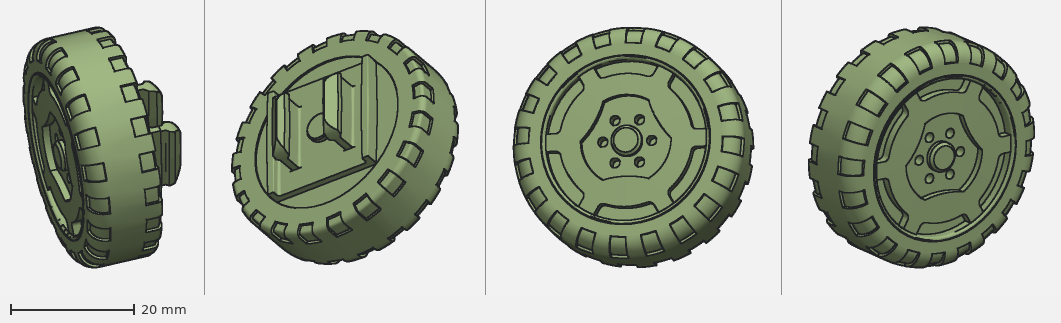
import cadquery as cq
import math


tyre_radius = 19.0
tyre_width = 12.1
bore_radius = 14.0
front_round = 3.0
back_round = 1.0

groove_count = 20
groove_angle = 360 / groove_count / 2
groove_depth = 0.5
groove_reach = 3.0
back_groove_inner_radius = 17.0
overcut = 0.38

rim_back = 11.78
lip_round = 0.45
lip_inner_radius = 13.25
rim_edge_chamfer = 0.1
window_inner_radius = 11.0
window_floor = 2.0
window_corner = 0.9
window_count = 6
spoke_width = 2.9
hub_pocket_floor = 1.52
hub_pocket_arcs = 6
hub_pocket_outer_radius = 7.5
hub_pocket_inner_radius = 6.0
bolt_count = 6
bolt_circle_radius = 4.03
bolt_hole_radius = 0.8
bolt_hole_floor = 4.0

axle_radius = 2.5
axle_front = 0.25
axle_back = 14.25
axle_front_chamfer = 0.5
axle_back_chamfer = 0.23

draft_angle = 1.0
plate_half = 10.0
plate_top = 13.35
plate_corner = 0.57
arm_top = 14.82
arm_inner = 8.47
arm_corner = 0.25
root_fillet = 0.35
prong_foot_margin = 0.75
prong_half_depth = 6.0
prong_round = 3.0
prong_top = 19.8
shank_inner = 4.5
shank_outer = 5.95
shank_top_inner = 16.45
shank_top_outer = 16.8
head_inner = 3.75
head_outer = 6.45
head_low_inner = 17.15
head_low_outer = 17.25
head_high_inner = 18.62
head_high_outer = 18.28
tip_inner = 4.52
tip_outer = 4.75


def circle_point(center, radius, degrees):
    """Point on a circle, at an angle measured from the first axis of the sketch."""
    angle = math.radians(degrees)
    return (center[0] + radius * math.cos(angle), center[1] + radius * math.sin(angle))


def revolve_about_y(profile, degrees=360):
    """Revolve a closed (y, radius) profile about the Y axis, from +Z towards +X."""
    return profile.close().revolve(degrees, (0, 0), (1, 0))


def face_plane(y):
    """XZ sketch plane at the given y, with its normal along +Y and its second axis along -Z."""
    return cq.Workplane(cq.Plane(origin=(0, y, 0), xDir=(1, 0, 0), normal=(0, 1, 0)))


def around_y(shape, count):
    """Equally spaced copies of a shape around the Y axis."""
    return [shape.rotate((0, 0, 0), (0, 1, 0), i * 360 / count) for i in range(count)]


def make_front_groove():
    center = (front_round, tyre_radius - front_round)
    floor_round = front_round - groove_depth
    profile = (
        cq.Workplane("YZ")
        .moveTo(front_round, tyre_radius + overcut)
        .lineTo(front_round, tyre_radius - groove_depth)
        .threePointArc(circle_point(center, floor_round, 135), (groove_depth, center[1]))
        .lineTo(-overcut, center[1])
        .lineTo(-overcut, tyre_radius + overcut)
    )
    return revolve_about_y(profile, groove_angle)


def make_back_groove():
    floor_round = back_round - groove_depth
    center = (tyre_width - back_round, tyre_radius - back_round)
    floor_y = tyre_width - groove_depth
    profile = (
        cq.Workplane("YZ")
        .moveTo(tyre_width - groove_reach, tyre_radius + overcut)
        .lineTo(tyre_width - groove_reach, tyre_radius - groove_depth)
        .lineTo(center[0], tyre_radius - groove_depth)
        .threePointArc(circle_point(center, floor_round, 45), (floor_y, center[1]))
        .lineTo(floor_y, back_groove_inner_radius)
        .lineTo(tyre_width + overcut, back_groove_inner_radius)
        .lineTo(tyre_width + overcut, tyre_radius + overcut)
    )
    return revolve_about_y(profile, groove_angle)


def make_tyre():
    front_center = (front_round, tyre_radius - front_round)
    back_center = (tyre_width - back_round, tyre_radius - back_round)
    profile = (
        cq.Workplane("YZ")
        .moveTo(0, bore_radius)
        .lineTo(0, front_center[1])
        .threePointArc(circle_point(front_center, front_round, 135), (front_round, tyre_radius))
        .lineTo(back_center[0], tyre_radius)
        .threePointArc(circle_point(back_center, back_round, 45), (tyre_width, back_center[1]))
        .lineTo(tyre_width, bore_radius)
    )
    tyre = revolve_about_y(profile)
    for groove in (make_front_groove(), make_back_groove()):
        for copy in around_y(groove, groove_count):
            tyre = tyre.cut(copy)
    return tyre


def make_rim_blank():
    """Disc with a shallow conical face and a rounded lip around it."""
    lip_outer = lip_inner_radius + lip_round
    profile = (
        cq.Workplane("YZ")
        .moveTo(0, 0)
        .lineTo(lip_round, lip_inner_radius)
        .threePointArc(circle_point((lip_round, lip_outer), lip_round, 225), (0, lip_outer))
        .lineTo(0, bore_radius - rim_edge_chamfer)
        .lineTo(rim_edge_chamfer, bore_radius)
        .lineTo(rim_back, bore_radius)
        .lineTo(rim_back, 0)
    )
    return revolve_about_y(profile)


def make_windows():
    """Pockets between the spokes, with rounded inner corners; each bar makes two opposite spokes."""
    start = -overcut
    depth = window_floor - start
    windows = face_plane(start).circle(lip_inner_radius).circle(window_inner_radius).extrude(depth)
    bar = face_plane(start).rect(2 * bore_radius, spoke_width).extrude(depth)
    for i in range(window_count // 2):
        windows = windows.cut(bar.rotate((0, 0, 0), (0, 1, 0), i * 360 / window_count))
    corner_limit = (window_inner_radius + lip_inner_radius) / 2
    inner_corners = [
        edge
        for edge in windows.edges("|Y").vals()
        if math.hypot(edge.Center().x, edge.Center().z) < corner_limit
    ]
    return windows.newObject(inner_corners).fillet(window_corner)


def make_hub_pocket():
    """Three-lobed pocket whose outline alternates between bulging and inward arcs of equal span."""
    span = 360 / hub_pocket_arcs
    outline = face_plane(-overcut).moveTo(hub_pocket_outer_radius, 0)
    for i in range(hub_pocket_arcs):
        middle_radius = hub_pocket_outer_radius if i % 2 == 0 else hub_pocket_inner_radius
        middle = circle_point((0, 0), middle_radius, (i + 0.5) * span)
        corner = circle_point((0, 0), hub_pocket_outer_radius, (i + 1) * span)
        outline = outline.threePointArc(middle, corner)
    return outline.close().extrude(hub_pocket_floor + overcut)


def make_rim():
    bolt_holes = (
        face_plane(0)
        .polarArray(bolt_circle_radius, 0, 360, bolt_count)
        .circle(bolt_hole_radius)
        .extrude(bolt_hole_floor)
    )
    axle_hole = face_plane(-overcut).circle(axle_radius).extrude(rim_back + 2 * overcut)
    return make_rim_blank().cut(make_windows()).cut(make_hub_pocket()).cut(bolt_holes).cut(axle_hole)


def make_axle():
    axle = face_plane(axle_front).circle(axle_radius).extrude(axle_back - axle_front)
    return axle.faces("<Y").chamfer(axle_front_chamfer).faces(">Y").chamfer(axle_back_chamfer)


def draft_both_ways(outline, half_depth):
    """Extrude an XY outline up and down from z = 0, narrowing with the draft angle."""
    upper = cq.Workplane("XY").placeSketch(outline).extrude(half_depth, taper=draft_angle)
    return upper.union(upper.mirror("XY"))


def closed_outline(points):
    return cq.Sketch().polygon([*points, points[0]])


def round_corners(outline, points, radius):
    """Round the corners of an outline that lie at the given points."""
    for x, y in points:
        corner = cq.selectors.BoxSelector((x - radius, y - radius, -0.38), (x + radius, y + radius, 0.38))
        outline = outline.reset().vertices(corner).fillet(radius)
    return outline.reset()


def make_plate():
    half_outline = [
        (plate_half, rim_back),
        (plate_half, arm_top),
        (arm_inner, arm_top),
        (arm_inner, plate_top),
    ]
    outline = closed_outline(half_outline + [(-x, y) for x, y in reversed(half_outline)])
    radii = (plate_corner, arm_corner, arm_corner, root_fillet)
    for (x, y), radius in zip(half_outline, radii):
        outline = round_corners(outline, [(x, y), (-x, y)], radius)
    return draft_both_ways(outline, plate_half)


def make_prong():
    """Prong on the +X side: foot within the plate, shank and barbed head with rounded ends."""
    foot_bottom = rim_back + plate_corner
    foot_inner = shank_inner - prong_foot_margin
    foot_outer = shank_outer + prong_foot_margin
    outline = closed_outline(
        [
            (foot_inner, foot_bottom),
            (foot_outer, foot_bottom),
            (foot_outer, plate_top),
            (shank_outer, plate_top),
            (shank_outer, shank_top_outer),
            (head_outer, head_low_outer),
            (head_outer, head_high_outer),
            (tip_outer, prong_top),
            (tip_inner, prong_top),
            (head_inner, head_high_inner),
            (head_inner, head_low_inner),
            (shank_inner, shank_top_inner),
            (shank_inner, plate_top),
            (foot_inner, plate_top),
        ]
    )
    outline = round_corners(outline, [(shank_inner, plate_top), (shank_outer, plate_top)], root_fillet)
    side_shape = (
        cq.Workplane("YZ")
        .center((rim_back + prong_top) / 2, 0)
        .rect(prong_top - rim_back, 2 * prong_half_depth)
        .extrude(plate_half)
        .edges("|X and >Y")
        .fillet(prong_round)
    )
    return draft_both_ways(outline, prong_half_depth).intersect(side_shape)


def make_clip():
    prong = make_prong()
    axle_hole = face_plane(rim_back - overcut).circle(axle_radius).extrude(axle_back - rim_back)
    return make_plate().union(prong).union(prong.mirror("YZ")).cut(axle_hole)


tyre = make_tyre()
rim = make_rim()
axle = make_axle()
clip = make_clip()

result = cq.Compound.makeCompound([tyre.val(), rim.val(), axle.val(), clip.val()])